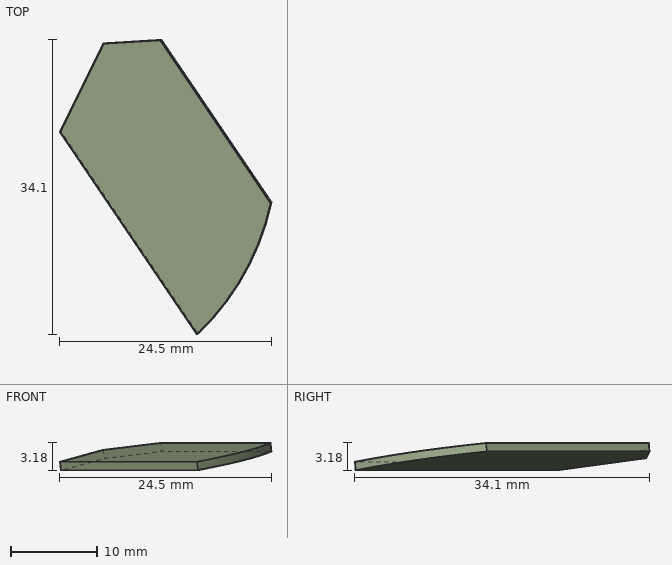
import cadquery as cq
import math

long_edge = 28.3
width = 15.72
thickness = 1.0
heading = -55.9
tilt = 8.0

shoulder_along = -5.63
shoulder_across = 9.95
upper_edge_start = -2.25
upper_edge_end = 20.5
end_radius = 30.0

heading_rad = math.radians(heading)
tilt_rad = math.radians(tilt)
edge_direction = (math.cos(heading_rad), math.sin(heading_rad), 0)
face_normal = (
    math.sin(tilt_rad) * math.sin(heading_rad),
    -math.sin(tilt_rad) * math.cos(heading_rad),
    math.cos(tilt_rad),
)
top_face = cq.Plane(origin=(0, 0, 0), xDir=edge_direction, normal=face_normal)

result = (
    cq.Workplane(top_face)
    .lineTo(shoulder_along, shoulder_across)
    .lineTo(upper_edge_start, width)
    .lineTo(upper_edge_end, width)
    .radiusArc((long_edge, 0), end_radius)
    .close()
    .extrude(-thickness)
)